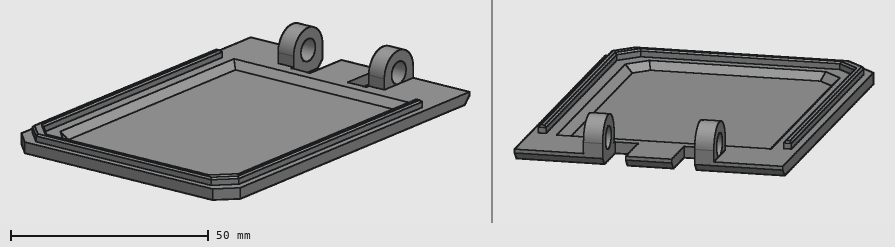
import cadquery as cq

width = 70
length = 100
plate_thickness = 3
corner_clip = 5
hinge_edge_chamfer = 2
half_width = width / 2
front_y = -length / 2
hinge_y = length / 2

recess_margin = 7
recess_hinge_margin = 16
recess_depth = 2

rim_margin = 2
rim_width = 2
rim_height = 2
rim_hinge_margin = 17
rim_chamfer = 0.5

lug_radius = 6
lug_width = 5
lug_hole_diameter = 6
lug_axis_height = 6
slot_width = 6
slot_depth = 13
slot_spacing = 12

overrun = 1


def clipped_outline(margin, top_y, z):
    """Rectangle inset from the plate sides and front, with its front corners clipped."""
    x = half_width - margin
    y = front_y + margin
    return cq.Workplane("XY", origin=(0, 0, z)).polyline([
        (-x, top_y),
        (-x, y + corner_clip),
        (-x + corner_clip, y),
        (x - corner_clip, y),
        (x, y + corner_clip),
        (x, top_y),
    ]).close()


def make_plate():
    plate = clipped_outline(0, hinge_y, 0).extrude(plate_thickness)
    return plate.faces(">Y").edges("<Z").chamfer(hinge_edge_chamfer)


def make_recess():
    top_y = hinge_y - recess_hinge_margin
    outline = clipped_outline(recess_margin, top_y, plate_thickness)
    return outline.extrude(-recess_depth, taper=45)


def make_rim():
    top_y = hinge_y - rim_hinge_margin
    inner_margin = rim_margin + rim_width
    outer = clipped_outline(rim_margin, top_y, plate_thickness).extrude(rim_height)
    inner = clipped_outline(inner_margin, top_y + overrun, plate_thickness).extrude(rim_height)
    rim = outer.cut(inner)
    return rim.faces(">Z").chamfer(rim_chamfer)


def make_slot(side):
    x = side * (slot_spacing + slot_width) / 2
    return (
        cq.Workplane("XY")
        .center(x, hinge_y - slot_depth / 2)
        .rect(slot_width, slot_depth)
        .extrude(plate_thickness)
    )


def make_lug(side):
    """Round-topped lug standing on the plate at the outer side of a slot."""
    center_x = side * (slot_spacing / 2 + slot_width + lug_width / 2)
    axis_y = hinge_y - lug_radius
    section = cq.Workplane("YZ", origin=(center_x - lug_width / 2, 0, 0))
    lug = (
        section
        .moveTo(axis_y - lug_radius, plate_thickness)
        .lineTo(axis_y - lug_radius, lug_axis_height)
        .threePointArc((axis_y, lug_axis_height + lug_radius), (hinge_y, lug_axis_height))
        .lineTo(hinge_y, plate_thickness)
        .close()
        .extrude(lug_width)
    )
    hole = section.center(axis_y, lug_axis_height).circle(lug_hole_diameter / 2).extrude(lug_width)
    return lug.cut(hole)


result = make_plate().cut(make_recess()).union(make_rim())
for side in (-1, 1):
    result = result.cut(make_slot(side)).union(make_lug(side))